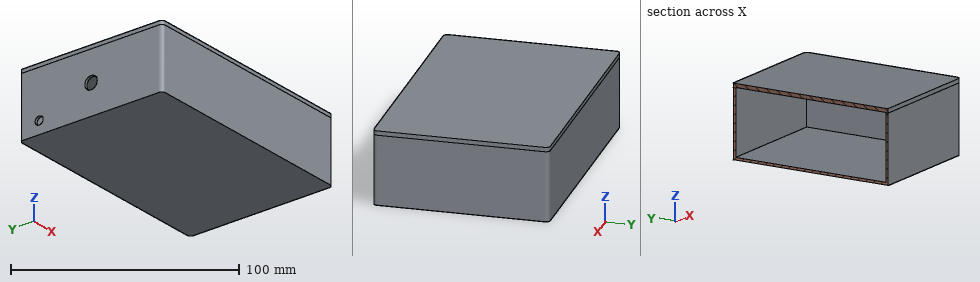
import cadquery as cq

length = 120.0
width = 80.0
total_height = 35.0
lid_thickness = 2.0
wall = 1.5
corner_radius = 2.0
housing_height = total_height - lid_thickness

main_hole_diameter = 7.0
main_hole_y = 0.0
main_hole_z = housing_height / 2
small_hole_diameter = 4.5
small_hole_y = 29.0
small_hole_z = 7.0


def rounded_block(height):
    """Block of the full outline, standing on Z = 0, with rounded upright edges."""
    block = cq.Workplane("XY").box(length, width, height, centered=(True, True, False))
    return block.edges("|Z").fillet(corner_radius)


def end_wall_cutter(diameter, y, z):
    """Cylinder that fills the thickness of the -X end wall."""
    axis_start = cq.Vector(-length / 2, y, z)
    return cq.Solid.makeCylinder(diameter / 2, wall, axis_start, cq.Vector(1, 0, 0))


def make_housing():
    """Box with an open top and two round openings in its -X end."""
    cavity = cq.Workplane("XY").workplane(offset=wall).box(
        length - 2 * wall,
        width - 2 * wall,
        housing_height - wall,
        centered=(True, True, False),
    )
    body = rounded_block(housing_height).cut(cavity)
    body = body.cut(end_wall_cutter(main_hole_diameter, main_hole_y, main_hole_z))
    return body.cut(end_wall_cutter(small_hole_diameter, small_hole_y, small_hole_z))


def make_lid():
    """Flat plate that closes the top of the housing."""
    return rounded_block(lid_thickness).translate((0, 0, housing_height))


housing = make_housing()
lid = make_lid()

result = cq.Compound.makeCompound([housing.val(), lid.val()])